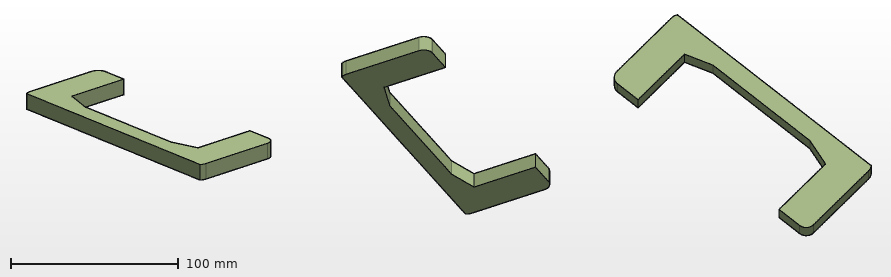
import cadquery as cq
import math

length = 157.2
depth = 59.0
thickness = 10.0

leg_width = 22.3
bar_depth = 11.6
ramp_top = 17.3
ramp_run = 17.6

corner_radius = 6.0
grip_arc_rise = 3.6
grip_arc_inset = corner_radius - math.sqrt(corner_radius**2 - grip_arc_rise**2)

half_length = length / 2
leg_inner_x = half_length - leg_width
ramp_end_x = leg_inner_x - ramp_run


def arc_point(center_x, center_y, angle):
    """Point on a corner arc at the given angle from +X."""
    return (
        center_x + corner_radius * math.cos(angle),
        center_y + corner_radius * math.sin(angle),
    )


corner_x = half_length - corner_radius
end_corner_y = depth - corner_radius
grip_arc_angle = math.asin(grip_arc_rise / corner_radius)

half_outline = (
    cq.Workplane("XY")
    .moveTo(0, 0)
    .lineTo(half_length - grip_arc_inset, 0)
    .threePointArc(
        arc_point(corner_x, grip_arc_rise, -grip_arc_angle / 2),
        (half_length, grip_arc_rise),
    )
    .lineTo(half_length, end_corner_y)
    .threePointArc(
        arc_point(corner_x, end_corner_y, math.pi / 4),
        (corner_x, depth),
    )
    .lineTo(leg_inner_x, depth)
    .lineTo(leg_inner_x, ramp_top)
    .lineTo(ramp_end_x, bar_depth)
    .lineTo(0, bar_depth)
)

result = half_outline.mirrorY().extrude(thickness)